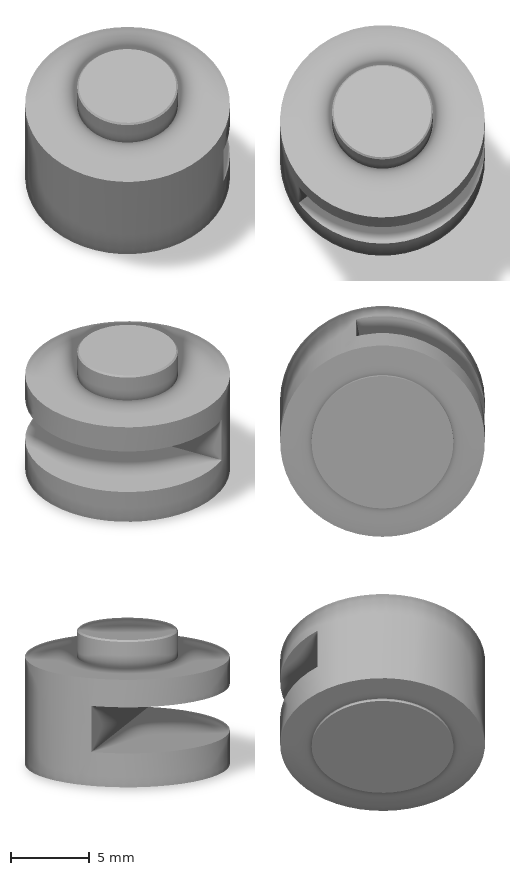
import cadquery as cq

body_diameter = 13.0
total_height = 9.0

foot_diameter = 9.0
foot_height = 0.2
boss_diameter = 6.4
boss_height = 1.8
boss_chamfer = 0.1
body_height = total_height - foot_height - boss_height

slot_height = 3.0
slot_roof_thickness = 1.8
slot_end_y = -0.5

body_bottom = foot_height
body_top = body_bottom + body_height
slot_top = body_top - slot_roof_thickness
slot_bottom = slot_top - slot_height


def disc(diameter, height, bottom):
    """Upright cylinder on the Z axis."""
    return cq.Workplane("XY").workplane(offset=bottom).circle(diameter / 2).extrude(height)


def side_slot():
    """Block that removes the slot from its flat end out past the +Y side."""
    return (
        cq.Workplane("XY")
        .box(2 * body_diameter, body_diameter, slot_height, centered=(True, False, False))
        .translate((0, slot_end_y, slot_bottom))
    )


foot = disc(foot_diameter, foot_height, 0)
body = disc(body_diameter, body_height, body_bottom).cut(side_slot())
boss = disc(boss_diameter, boss_height, body_top).faces(">Z").chamfer(boss_chamfer)

result = body.union(foot).union(boss)